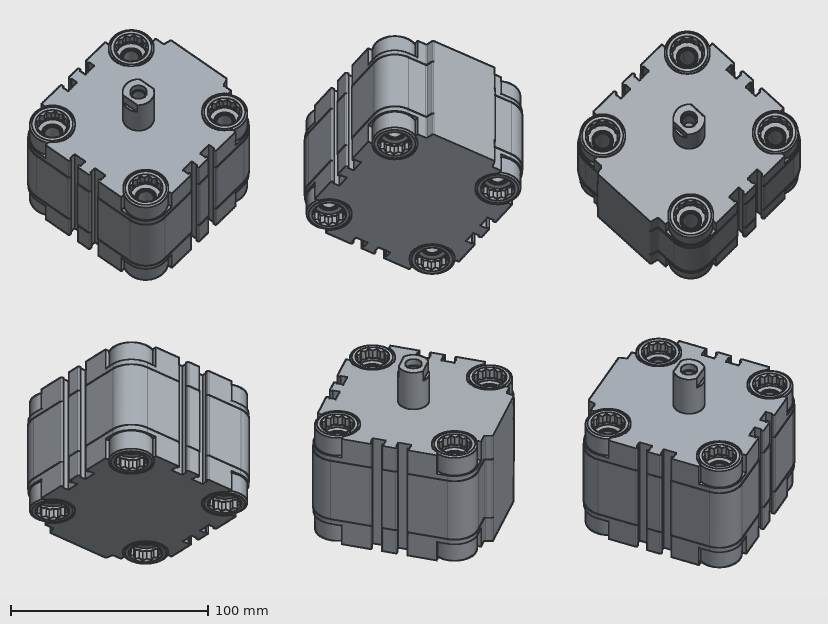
import cadquery as cq
import math

housing_half_width = 43.5
housing_height = 65.0
corner_radius = 12.6
cap_height = 14.5
cap_inset = 0.3

ridge_top = 47.5
ridge_half_top = 18.9
ridge_half_foot = 20.0
ridge_fillet = 0.7

slot_offset = 6.7
slot_opening = 5.5
slot_width = 7.0
slot_depth = 5.5
slot_lip = 1.9
slot_lip_fillet = 0.55

collar_offset = housing_half_width - corner_radius
collar_radius = 23.0 / 2
collar_height = 11.5
collar_notch_wall = 25.1
collar_chamfer_width = 1.1
collar_chamfer_height = 0.7

socket_mouth_radius = 8.6
socket_mouth_depth = 1.4
socket_tip_radius = 16.5 / 2
socket_depth = 6.1
socket_floor_depth = 7.9
socket_points = 12
bolt_rim_radius = 5.4
bolt_rim_inner_radius = 4.8
bolt_rim_depth = 0.55
bolt_hole_radius = 8.0 / 2

rod_radius = 16.0 / 2
rod_projection = 22.6
rod_flat_width = 13.0
rod_flat_height = 6.1
rod_counterbore_radius = 8.4 / 2
rod_counterbore_depth = 3.7
rod_bore_radius = 6.6 / 2
rod_bore_depth = 14.6
rod_drill_angle = 118.0

housing_top = housing_height / 2
barrel_height = housing_height - 2 * cap_height
rod_top = housing_top + rod_projection
rod_bottom = housing_top - cap_height
cut_margin = 0.9


def revolve_about_z(profile):
    """Turn a closed (radius, z) outline about the Z axis."""
    return cq.Workplane("XZ").polyline(profile).close().revolve(360, (0, 0, 0), (0, 1, 0))


def outline_block(inset, height):
    """Square block with a ridge on +Y, all but the ridge crest set back by `inset`."""
    side = housing_half_width - inset
    foot = ridge_half_foot - inset
    crown = ridge_half_top - inset
    points = [
        (-side, -side), (side, -side), (side, side),
        (foot, side), (crown, ridge_top), (-crown, ridge_top), (-foot, side),
        (-side, side),
    ]
    block = cq.Workplane("XY").polyline(points).close().extrude(height / 2, both=True)
    block = block.edges("|Z and (not (<X or >X))").fillet(ridge_fillet)
    return block.edges("|Z and (<X or >X)").fillet(corner_radius - inset)


def slot_cutter(inset, height):
    """T-slot in the -Y side with rounded lips, for a side set back by `inset`."""
    face = inset - housing_half_width
    floor = slot_depth - housing_half_width
    lip_back = slot_lip - housing_half_width
    opening = slot_opening / 2
    flare = opening + slot_lip_fillet
    lip_round = face + slot_lip_fillet
    arc_reach = slot_lip_fillet * math.sqrt(0.5)
    arc_x = flare - arc_reach
    arc_y = lip_round - arc_reach
    return (
        cq.Workplane("XY")
        .moveTo(-flare, face - cut_margin)
        .lineTo(-flare, face)
        .threePointArc((-arc_x, arc_y), (-opening, lip_round))
        .lineTo(-opening, lip_back)
        .lineTo(-slot_width / 2, lip_back)
        .lineTo(-slot_width / 2, floor)
        .lineTo(slot_width / 2, floor)
        .lineTo(slot_width / 2, lip_back)
        .lineTo(opening, lip_back)
        .lineTo(opening, lip_round)
        .threePointArc((arc_x, arc_y), (flare, face))
        .lineTo(flare, face - cut_margin)
        .close()
        .extrude(height / 2, both=True)
    )


def slotted_block(inset, height):
    """Ridged block with a pair of T-slots in each of its three flat sides."""
    block = outline_block(inset, height)
    cutter = slot_cutter(inset, height)
    for side_angle in (-90, 0, 90):
        for offset in (-slot_offset, slot_offset):
            slot = cutter.translate((offset, 0, 0)).rotate((0, 0, 0), (0, 0, 1), side_angle)
            block = block.cut(slot)
    return block


def collar_relief():
    """Material removed around a collar on the Z axis, at the +X +Y corner of the upper cap."""
    wall = collar_notch_wall - collar_offset
    size = corner_radius + cut_margin - wall
    notch = (
        cq.Workplane("XY").workplane(offset=housing_top - collar_height)
        .center(wall, wall).rect(size, size, centered=False).extrude(collar_height)
    )
    collar = (
        cq.Workplane("XY").workplane(offset=housing_top - collar_height)
        .circle(collar_radius).extrude(collar_height)
    )
    chamfer = revolve_about_z([
        (collar_radius - collar_chamfer_width, housing_top),
        (collar_radius, housing_top),
        (collar_radius, housing_top - collar_chamfer_height),
    ])
    return notch.cut(collar).union(chamfer)


def twelve_point_cutter():
    """Prism with the outline of two crossed hexagons."""
    step = math.pi / socket_points
    valley_radius = socket_tip_radius * math.cos(2 * step) / math.cos(step)
    points = []
    for index in range(2 * socket_points):
        radius = valley_radius if index % 2 else socket_tip_radius
        points.append((radius * math.cos(index * step), radius * math.sin(index * step)))
    return (
        cq.Workplane("XY").workplane(offset=housing_top - socket_floor_depth)
        .polyline(points).close().extrude(socket_floor_depth)
    )


def socket_cutter():
    """Tapered mouth, twelve-point recess, round bottom and chamfered rim on the Z axis."""
    mouth_end_radius = socket_mouth_radius - socket_mouth_depth
    floor = housing_top - socket_floor_depth
    mouth = revolve_about_z([
        (0, housing_top), (socket_mouth_radius, housing_top),
        (mouth_end_radius, housing_top - socket_mouth_depth), (0, housing_top - socket_mouth_depth),
    ])
    bottom = (
        cq.Workplane("XY").workplane(offset=floor)
        .circle(socket_tip_radius).extrude(socket_floor_depth - socket_depth)
    )
    rim = revolve_about_z([
        (0, floor), (bolt_rim_radius, floor),
        (bolt_rim_inner_radius, floor - bolt_rim_depth), (0, floor - bolt_rim_depth),
    ])
    return mouth.union(twelve_point_cutter()).union(bottom).union(rim)


def make_housing():
    housing = slotted_block(cap_inset, housing_height).union(slotted_block(0, barrel_height))
    bolt_hole = cq.Workplane("XY").circle(bolt_hole_radius).extrude(housing_height / 2, both=True)
    upper_cut = collar_relief().union(socket_cutter())
    corner_cut = upper_cut.union(upper_cut.mirror("XY")).union(bolt_hole)
    corner_cut = corner_cut.translate((collar_offset, collar_offset, 0))
    for corner_angle in (0, 90, 180, 270):
        housing = housing.cut(corner_cut.rotate((0, 0, 0), (0, 0, 1), corner_angle))
    rod_socket = cq.Workplane("XY").workplane(offset=rod_bottom).circle(rod_radius).extrude(cap_height)
    return housing.cut(rod_socket)


def make_rod():
    rod = cq.Workplane("XY").workplane(offset=rod_bottom).circle(rod_radius).extrude(rod_top - rod_bottom)

    flat_depth = rod_radius - rod_flat_width / 2
    for side in (-1, 1):
        flat = cq.Workplane("XY").box(2 * rod_radius, flat_depth, rod_flat_height)
        flat_y = side * (rod_radius - flat_depth / 2)
        rod = rod.cut(flat.translate((0, flat_y, rod_top - rod_flat_height / 2)))

    bore_end = rod_top - rod_bore_depth
    counterbore_end = rod_top - rod_counterbore_depth
    cone_depth = rod_bore_radius / math.tan(math.radians(rod_drill_angle / 2))
    bore = revolve_about_z([
        (0, rod_top), (rod_counterbore_radius, rod_top),
        (rod_counterbore_radius, counterbore_end), (rod_bore_radius, counterbore_end),
        (rod_bore_radius, bore_end), (0, bore_end - cone_depth),
    ])
    return rod.cut(bore)


housing = make_housing()
rod = make_rod()
result = cq.Compound.makeCompound([housing.val(), rod.val()])